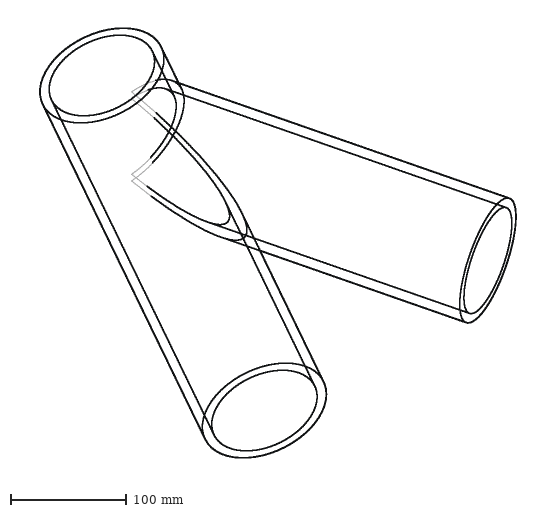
import cadquery as cq
import math

outer_diameter = 114.5
bore_diameter = 97.2
run_length = 419.0
branch_angle = 45.0
branch_length = 342.5
branch_offset = 76.0

angle = math.radians(branch_angle)
run_plane = cq.Plane(origin=(0, 0, 0), xDir=(0, 1, 0), normal=(1, 0, 0))
branch_plane = cq.Plane(
    origin=(branch_offset, 0, 0),
    xDir=(0, 0, 1),
    normal=(math.cos(angle), math.sin(angle), 0),
)


def joined_cylinders(diameter):
    """Run and branch cylinders of one diameter, merged where their axes meet."""
    run = cq.Workplane(run_plane).circle(diameter / 2).extrude(run_length)
    branch = cq.Workplane(branch_plane).circle(diameter / 2).extrude(branch_length)
    return run.union(branch)


result = joined_cylinders(outer_diameter).cut(joined_cylinders(bore_diameter))